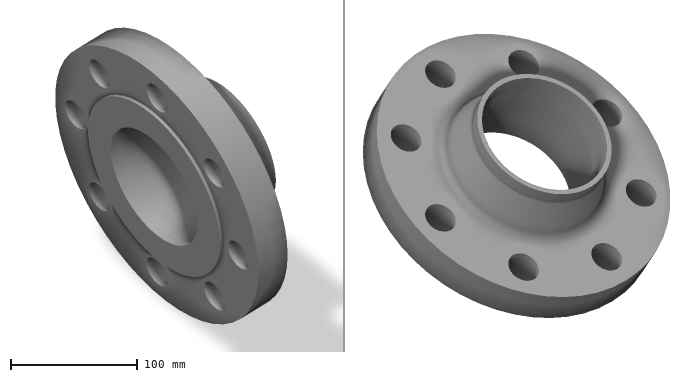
import cadquery as cq

flange_diameter = 250.0
flange_thickness = 30.0
face_diameter = 162.0
face_height = 3.0
total_length = 78.0
bore_diameter = 106.2
neck_diameter = 114.2
neck_length = 12.0
hub_base_diameter = 138.0
hub_fillet = 8.0
bolt_circle_diameter = 200.0
bolt_hole_diameter = 26.0
bolt_hole_count = 8

flange_back = face_height + flange_thickness
cone_end = total_length - neck_length


def flange_body():
    """Revolve the raised face, flange, tapered hub and welding end about Y."""
    profile = (
        cq.Workplane("XY")
        .moveTo(bore_diameter / 2, 0)
        .lineTo(face_diameter / 2, 0)
        .lineTo(face_diameter / 2, face_height)
        .lineTo(flange_diameter / 2, face_height)
        .lineTo(flange_diameter / 2, flange_back)
        .lineTo(hub_base_diameter / 2, flange_back)
        .lineTo(neck_diameter / 2, cone_end)
        .lineTo(neck_diameter / 2, total_length)
        .lineTo(bore_diameter / 2, total_length)
        .close()
    )
    body = profile.revolve(360, (0, 0, 0), (0, 1, 0))
    back_edges = body.faces("|Y").faces(">Y[-2]").edges("%CIRCLE")
    return back_edges.edges(cq.selectors.RadiusNthSelector(0)).fillet(hub_fillet)


def bolt_holes():
    """Cylinders on the bolt circle, passing through the whole flange."""
    return (
        cq.Workplane("XZ")
        .polarArray(bolt_circle_diameter / 2, 0, 360, bolt_hole_count)
        .circle(bolt_hole_diameter / 2)
        .extrude(-flange_back)
    )


result = flange_body().cut(bolt_holes())